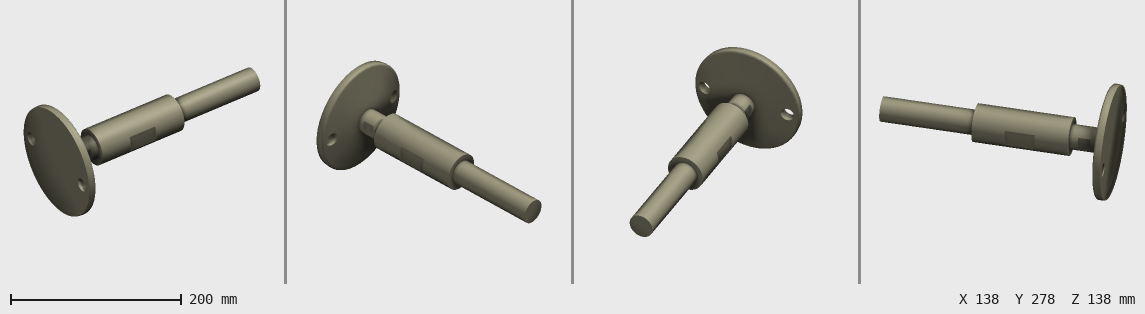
import cadquery as cq
import math

PLATE_DIAMETER = 138.0
PLATE_HEIGHT = 18.5
CONE_ANGLE = 9.8
LOWER_RIM_HEIGHT = 4.2
LOWER_RIM_INSET = 0.5
RIM_FILLET = 3.0

HOLE_DIAMETER = 16.5
HOLE_OFFSET = 52.5
HOLE_CUT_LENGTH = 4 * PLATE_HEIGHT

SPINDLE_DIAMETER = 30.0
SPINDLE_TOP = 278
SPINDLE_FLATS_WIDTH = 24.0
SPINDLE_FLATS_BOTTOM = 24.7
SPINDLE_FLATS_LENGTH = 15.0

SLEEVE_DIAMETER = 46.0
SLEEVE_BOTTOM = 49.8
SLEEVE_LENGTH = 115.6
SLEEVE_FLATS_WIDTH = 41.0
SLEEVE_FLATS_LENGTH = 36.1


def cylinder(diameter, bottom, length):
    """Cylinder on the Y axis, from Y = bottom upwards."""
    axis = cq.Vector(0, 1, 0)
    return cq.Workplane(cq.Solid.makeCylinder(diameter / 2, length, cq.Vector(0, bottom, 0), axis))


def cut_flats(body, diameter, width, bottom, length):
    """Cut two wrench flats facing -X and +X."""
    for side in (-1, 1):
        cutter = cq.Workplane().box(diameter, length, diameter)
        offset = side * (width + diameter) / 2
        body = body.cut(cutter.translate((offset, bottom + length / 2, 0)))
    return body


def make_plate():
    """Conical plate with a rounded shoulder, a slightly tapered lower rim and two tilted holes."""
    radius = PLATE_DIAMETER / 2
    top_radius = SPINDLE_DIAMETER / 2
    shoulder = PLATE_HEIGHT - (radius - top_radius) * math.tan(math.radians(CONE_ANGLE))
    plate = (
        cq.Workplane()
        .polyline([
            (0, 0),
            (radius - LOWER_RIM_INSET, 0),
            (radius, LOWER_RIM_HEIGHT),
            (radius, shoulder),
            (top_radius, PLATE_HEIGHT),
            (0, PLATE_HEIGHT),
        ])
        .close()
        .revolve(360, (0, 0, 0), (0, 1, 0))
    )
    middle = (LOWER_RIM_HEIGHT + shoulder) / 2
    shoulder_edge = cq.selectors.BoxSelector(
        (-radius, middle, -radius), (radius, (shoulder + PLATE_HEIGHT) / 2, radius)
    )
    plate = plate.edges("%CIRCLE").edges(shoulder_edge).fillet(RIM_FILLET)
    for side in (-1, 1):
        drill = (
            cylinder(HOLE_DIAMETER, -HOLE_CUT_LENGTH / 2, HOLE_CUT_LENGTH)
            .rotate((0, 0, 0), (0, 0, 1), -side * CONE_ANGLE)
            .translate((side * HOLE_OFFSET, 0, 0))
        )
        plate = plate.cut(drill)
    return plate


def make_foot():
    """Plate and spindle in one piece."""
    spindle = cylinder(SPINDLE_DIAMETER, PLATE_HEIGHT, SPINDLE_TOP - PLATE_HEIGHT)
    spindle = cut_flats(
        spindle, SPINDLE_DIAMETER, SPINDLE_FLATS_WIDTH, SPINDLE_FLATS_BOTTOM, SPINDLE_FLATS_LENGTH
    )
    return make_plate().union(spindle)


def make_sleeve():
    """Tube on the spindle, with wrench flats at mid-length."""
    sleeve = cylinder(SLEEVE_DIAMETER, SLEEVE_BOTTOM, SLEEVE_LENGTH)
    sleeve = sleeve.cut(cylinder(SPINDLE_DIAMETER, SLEEVE_BOTTOM, SLEEVE_LENGTH))
    flats_bottom = SLEEVE_BOTTOM + (SLEEVE_LENGTH - SLEEVE_FLATS_LENGTH) / 2
    return cut_flats(sleeve, SLEEVE_DIAMETER, SLEEVE_FLATS_WIDTH, flats_bottom, SLEEVE_FLATS_LENGTH)


foot = make_foot()
sleeve = make_sleeve()

result = cq.Compound.makeCompound([foot.val(), sleeve.val()])